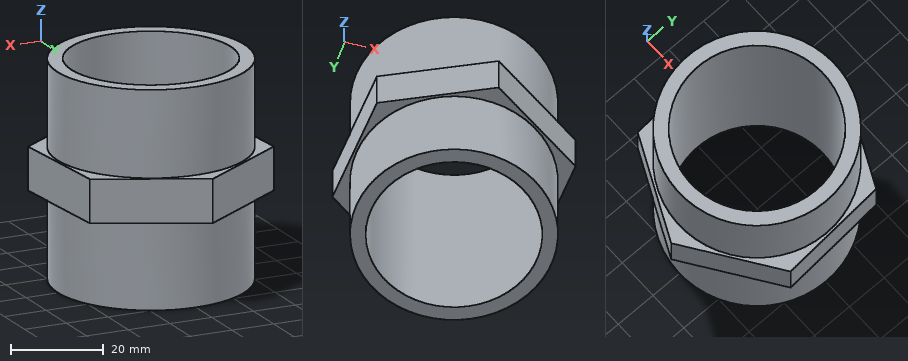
import cadquery as cq
import math

length = 50.0
outer_diameter = 44.85
bore_diameter = 38.1
collar_height = length / 5
collar_extent_y = 52.95
collar_tilt = 4.3

collar_corner_diameter = collar_extent_y / math.cos(math.radians(collar_tilt))

tube = cq.Workplane("XY").circle(outer_diameter / 2).extrude(length)

collar = (
    cq.Workplane("XY")
    .workplane(offset=(length - collar_height) / 2)
    .polygon(6, collar_corner_diameter)
    .extrude(collar_height)
    .rotate((0, 0, 0), (0, 0, 1), 30 + collar_tilt)
)

bore = cq.Workplane("XY").circle(bore_diameter / 2).extrude(length)

result = tube.union(collar).cut(bore)